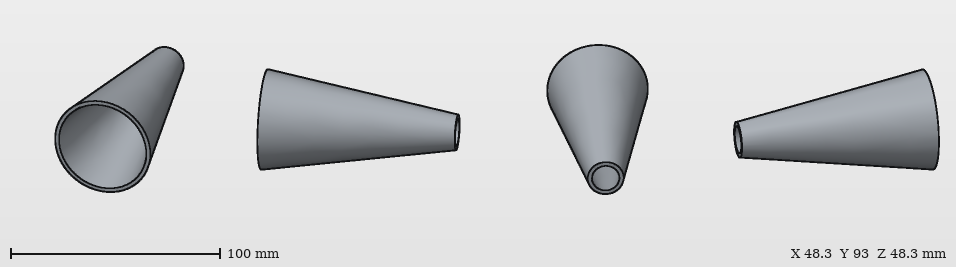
import cadquery as cq

length = 93.0
wide_diameter = 48.3
narrow_diameter = 17.2
wall = 2.0

wide_radius = wide_diameter / 2
narrow_radius = narrow_diameter / 2

wall_section = (
    cq.Workplane("XY")
    .moveTo(wide_radius - wall, 0)
    .lineTo(wide_radius, 0)
    .lineTo(narrow_radius, length)
    .lineTo(narrow_radius - wall, length)
    .close()
)

result = wall_section.revolve(360, (0, 0, 0), (0, 1, 0))